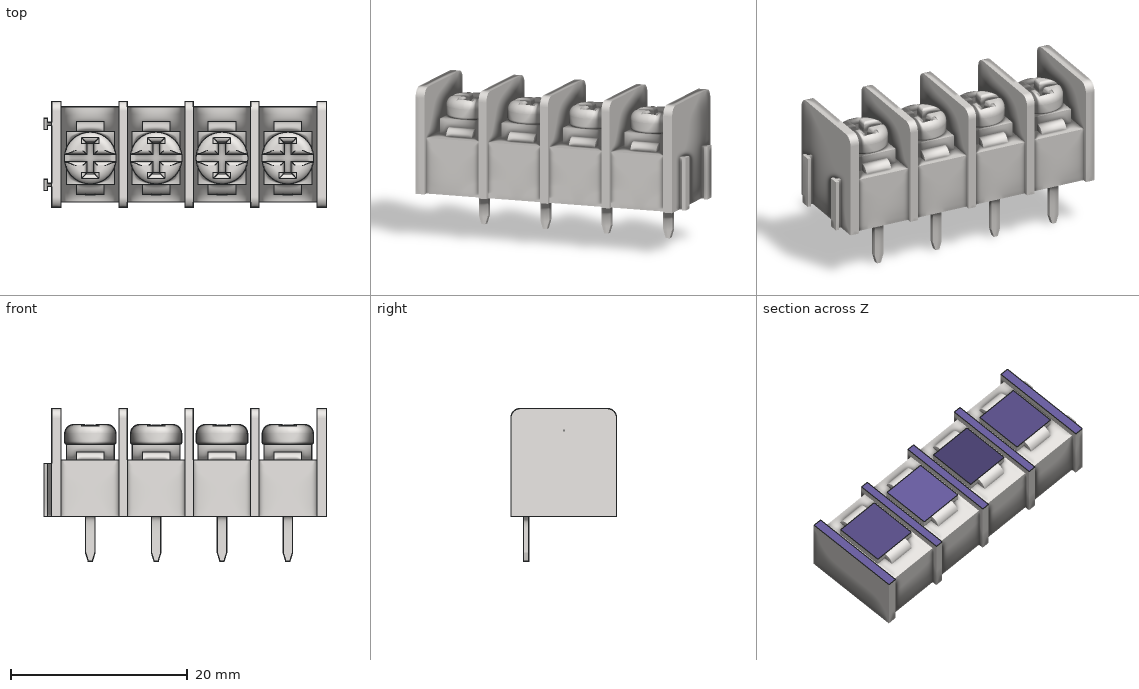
import cadquery as cq
import math

OVERALL_LENGTH = 32.0
POLE_COUNT = 4
PITCH = 7.45

RAIL_PROJECTION = 0.85
RAIL_HEAD_THICKNESS = 0.4
RAIL_HEAD_WIDTH = 1.28
RAIL_STEM_WIDTH = 0.4
RAIL_HEIGHT = 6.05
RAIL_OFFSET = 3.45

PLATE_WIDTH = 12.0
PLATE_HEIGHT = 12.25
PLATE_CORNER_RADIUS = 1.1
END_PLATE_THICKNESS = 1.1
INNER_PLATE_THICKNESS = 0.95

BLOCK_WIDTH = 10.8
BLOCK_HEIGHT = 6.43

TERMINAL_Y = -0.4
CLAMP_LENGTH = 5.45
CLAMP_WIDTH = 6.0
CLAMP_TOP = 8.2
BEND_LENGTH = 3.15
BEND_REACH = 4.15
BEND_RADIUS = 1.1
BEND_TOP = 7.3
PIN_WIDTH = 1.1
PIN_THICKNESS = 0.65
PIN_LENGTH = 5.05
PIN_TIP_WIDTH = 0.48
PIN_TIP_LENGTH = 1.0

HEAD_DIAMETER = 5.85
HEAD_TOP = 10.45
HEAD_FLAT_RADIUS = 1.85
HEAD_UNDERSIDE_RADIUS = 0.3
DOME_START = 9.45

ARM_FLOOR = 0.4
ARM_WALL_TOP = 0.5
ARM_RIM_RADIUS = 0.35
ARM_END_FLOOR = 1.63
ARM_END_WALL_TOP = 1.82
END_RIM_RADIUS = 0.48
END_RIM_TOP = 10.27
RIM_CLEARANCE = 0.32

plate_span = OVERALL_LENGTH - RAIL_PROJECTION
row_center = RAIL_PROJECTION + plate_span / 2
terminal_xs = [row_center + (i - (POLE_COUNT - 1) / 2) * PITCH for i in range(POLE_COUNT)]
pin_y = TERMINAL_Y - BEND_REACH + PIN_THICKNESS / 2


def box(x_size, y_size, z_low, z_high, x=0.0, y=0.0):
    """Block centred on (x, y) between two heights."""
    return cq.Workplane("XY", origin=(x, y, z_low)).rect(x_size, y_size).extrude(z_high - z_low)


def partition_plate(thickness, x):
    plate = box(thickness, PLATE_WIDTH, 0, PLATE_HEIGHT, x)
    return plate.edges("|X and >Z").fillet(PLATE_CORNER_RADIUS)


def t_rail(y):
    head = box(RAIL_HEAD_THICKNESS, RAIL_HEAD_WIDTH, 0, RAIL_HEIGHT, RAIL_HEAD_THICKNESS / 2, y)
    stem = box(RAIL_PROJECTION, RAIL_STEM_WIDTH, 0, RAIL_HEIGHT, RAIL_PROJECTION / 2, y)
    return head.union(stem)


def make_housing():
    housing = box(plate_span, BLOCK_WIDTH, 0, BLOCK_HEIGHT, row_center)
    end_offset = (plate_span - END_PLATE_THICKNESS) / 2
    for side in (-1, 1):
        housing = housing.union(partition_plate(END_PLATE_THICKNESS, row_center + side * end_offset))
        housing = housing.union(t_rail(side * RAIL_OFFSET))
    for x in terminal_xs[:-1]:
        housing = housing.union(partition_plate(INNER_PLATE_THICKNESS, x + PITCH / 2))
    for x in terminal_xs:
        housing = housing.cut(box(PIN_WIDTH, PIN_THICKNESS, 0, BLOCK_HEIGHT, x, pin_y))
    return housing


def flared_trough(plane, floor_half, wall_half, rim_radius, rim_top, start, end):
    """Recess cutter with rounded rims, its section drawn on `plane` and swept along the normal."""
    rim_start = rim_top - rim_radius
    rim_half = wall_half + rim_radius
    rim_mid = rim_radius * math.sqrt(0.5)
    side = [
        (floor_half, DOME_START),
        (wall_half, rim_start),
        (rim_half - rim_mid, rim_start + rim_mid),
        (rim_half, rim_top),
        (rim_half, HEAD_TOP + RIM_CLEARANCE),
    ]
    mirrored = [(-u, v) for u, v in side]
    return (
        cq.Workplane(plane)
        .workplane(offset=start)
        .moveTo(*mirrored[0])
        .lineTo(*side[0])
        .lineTo(*side[1])
        .threePointArc(side[2], side[3])
        .lineTo(*side[4])
        .lineTo(*mirrored[4])
        .lineTo(*mirrored[3])
        .threePointArc(mirrored[2], mirrored[1])
        .close()
        .extrude(end - start)
    )


def arm_trough(plane, rim_radius, rim_top, start, end):
    return flared_trough(plane, ARM_FLOOR, ARM_WALL_TOP, rim_radius, rim_top, start, end)


def driver_recess():
    reach = HEAD_DIAMETER
    slot = arm_trough("YZ", ARM_RIM_RADIUS, HEAD_TOP, -reach, reach)
    arm = arm_trough("XZ", ARM_RIM_RADIUS, HEAD_TOP, -ARM_END_FLOOR, ARM_END_FLOOR)
    recess = slot.union(arm)
    end_cap = flared_trough("YZ", ARM_END_FLOOR, ARM_END_WALL_TOP, END_RIM_RADIUS, END_RIM_TOP, -reach, reach)
    for start, end in ((-reach, -ARM_END_FLOOR), (ARM_END_FLOOR, reach)):
        widened = arm_trough("XZ", END_RIM_RADIUS, END_RIM_TOP, start, end)
        recess = recess.union(widened.intersect(end_cap))
    return recess


def screw_head():
    radius = HEAD_DIAMETER / 2
    diag = math.sqrt(0.5)
    dome_mid = (
        HEAD_FLAT_RADIUS + (radius - HEAD_FLAT_RADIUS) * diag,
        DOME_START + (HEAD_TOP - DOME_START) * diag,
    )
    blank = (
        cq.Workplane("XZ")
        .moveTo(0, CLAMP_TOP)
        .lineTo(radius - HEAD_UNDERSIDE_RADIUS, CLAMP_TOP)
        .radiusArc((radius, CLAMP_TOP + HEAD_UNDERSIDE_RADIUS), -HEAD_UNDERSIDE_RADIUS)
        .lineTo(radius, DOME_START)
        .threePointArc(dome_mid, (HEAD_FLAT_RADIUS, HEAD_TOP))
        .lineTo(0, HEAD_TOP)
        .close()
        .revolve(360, (0, 0, 0), (0, 1, 0))
    )
    return blank.cut(driver_recess())


def clamp_bends():
    """Rounded shoulders on the +Y and -Y sides of the clamp, flat on the housing."""
    bends = box(BEND_LENGTH, 2 * BEND_REACH, 0, BEND_TOP)
    bends = bends.edges("|X and >Z").fillet(BEND_RADIUS)
    return bends.intersect(box(BEND_LENGTH, 2 * BEND_REACH, BLOCK_HEIGHT, BEND_TOP))


def pin():
    half = PIN_WIDTH / 2
    tip_half = PIN_TIP_WIDTH / 2
    right_edge = [
        (half, BLOCK_HEIGHT),
        (half, PIN_TIP_LENGTH - PIN_LENGTH),
        (tip_half, -PIN_LENGTH),
    ]
    left_edge = [(-x, z) for x, z in reversed(right_edge)]
    blade = cq.Workplane("XZ").polyline(right_edge + left_edge).close().extrude(PIN_THICKNESS / 2, both=True)
    return blade.translate((0, pin_y - TERMINAL_Y, 0))


def make_terminal():
    clamp = box(CLAMP_LENGTH, CLAMP_WIDTH, BLOCK_HEIGHT, CLAMP_TOP)
    return clamp.union(clamp_bends()).union(pin()).union(screw_head())


housing = make_housing()
terminal = make_terminal()
terminals = [terminal.translate((x, TERMINAL_Y, 0)).solids().val() for x in terminal_xs]

result = cq.Compound.makeCompound([housing.solids().val(), *terminals])